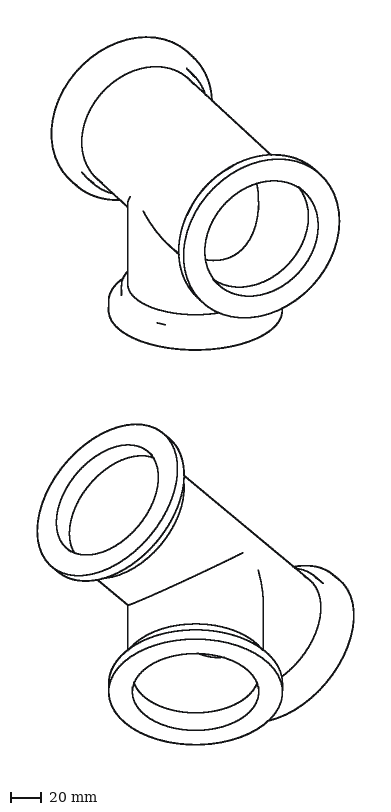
import cadquery as cq

TEE_LENGTH = 196.0
HALF_RUN = TEE_LENGTH / 2
BRANCH_REACH = 98.0
BORE_RADIUS = 83.0 / 2
PIPE_RADIUS = 89.0 / 2

FERRULE_LENGTH = 19.6
FLANGE_RADIUS = 114.0 / 2
COLLAR_RADIUS = 97.0 / 2
RIM_THICKNESS = 8.0
SOCKET_START = 14.5
CONE_END = 11.2
RIM_FILLET = 2.0
NECK_FILLET = 1.4
COLLAR_FILLET = 1.0


def make_pipe_tee():
    """Run and branch pipes of equal diameter, ending in the ferrule sockets."""
    run_half = HALF_RUN - SOCKET_START
    branch_length = BRANCH_REACH - SOCKET_START

    def run_and_branch(radius):
        run = cq.Workplane("YZ").circle(radius).extrude(run_half, both=True)
        branch = cq.Workplane("XY").circle(radius).extrude(-branch_length)
        return run.union(branch)

    return run_and_branch(PIPE_RADIUS).cut(run_and_branch(BORE_RADIUS))


def make_ferrule(direction, reach):
    """Flanged ferrule whose outer face is at the given reach from the tee centre."""
    body = (
        cq.Workplane("XZ")
        .moveTo(BORE_RADIUS, 0)
        .lineTo(FLANGE_RADIUS, 0)
        .lineTo(FLANGE_RADIUS, RIM_THICKNESS)
        .lineTo(COLLAR_RADIUS, CONE_END)
        .lineTo(COLLAR_RADIUS, FERRULE_LENGTH)
        .lineTo(PIPE_RADIUS, FERRULE_LENGTH)
        .lineTo(PIPE_RADIUS, SOCKET_START)
        .lineTo(BORE_RADIUS, SOCKET_START)
        .close()
        .revolve(360, (0, 0, 0), (0, 1, 0))
    )

    def circle_at(radius, height):
        """Selector for the circular edge of this radius at this height."""
        tolerance = 0.02
        low = (-radius - tolerance, -radius - tolerance, height - tolerance)
        high = (radius + tolerance, radius + tolerance, height + tolerance)
        return cq.selectors.BoxSelector(low, high, boundingbox=True)

    body = body.edges(circle_at(FLANGE_RADIUS, RIM_THICKNESS)).fillet(RIM_FILLET)
    body = body.edges(circle_at(COLLAR_RADIUS, CONE_END)).fillet(NECK_FILLET)
    body = body.faces(">Z").edges(cq.selectors.RadiusNthSelector(-1)).fillet(COLLAR_FILLET)

    inward = tuple(-component for component in direction)
    origin = tuple(component * reach for component in direction)
    seat = cq.Plane(origin=origin, xDir=(0, 1, 0), normal=inward)
    return body.val().moved(cq.Location(seat))


PORTS = [
    ((-1, 0, 0), HALF_RUN),
    ((1, 0, 0), HALF_RUN),
    ((0, 0, -1), BRANCH_REACH),
]

pipe_tee = make_pipe_tee()
ferrules = [make_ferrule(direction, reach) for direction, reach in PORTS]

result = cq.Compound.makeCompound([pipe_tee.val(), *ferrules])